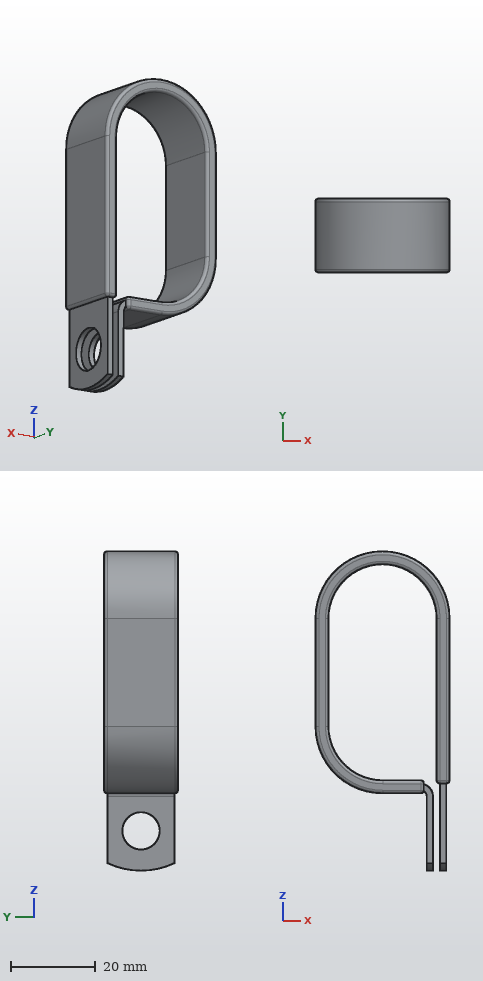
import cadquery as cq
import math


OVERALL_HEIGHT = 75.25
BORE_RADIUS = 12.7
SIDE_LENGTH = 25.4
STRAP_THICKNESS = 1.524
STRAP_WIDTH = 15.875
CUSHION_THICKNESS = 0.79375
LEG_GAP = 2 * CUSHION_THICKNESS
LEG_BEND_RADIUS = STRAP_THICKNESS
LONG_SIDE_COVER = 38.1
CUSHION_END_X = 9.77
SHORT_LEG_HOLE_DIAMETER = 8.73
LONG_LEG_HOLE_DIAMETER = 10.3
HOLE_TO_TIP = 9.4
TIP_RADIUS = 18.3
ROUNDING_MARGIN = 0.005

STRAP_INNER_RADIUS = BORE_RADIUS + CUSHION_THICKNESS
STRAP_OUTER_RADIUS = STRAP_INNER_RADIUS + STRAP_THICKNESS
CUSHION_OUTER_RADIUS = STRAP_OUTER_RADIUS + CUSHION_THICKNESS
CUSHION_WIDTH = STRAP_WIDTH + 2 * CUSHION_THICKNESS
CUSHION_ROUNDING = CUSHION_THICKNESS - ROUNDING_MARGIN
LOWER_CENTRE_Z = -SIDE_LENGTH
TIP_Z = CUSHION_OUTER_RADIUS - OVERALL_HEIGHT
SHORT_LEG_OUTER_X = STRAP_INNER_RADIUS - LEG_GAP
SHORT_LEG_INNER_X = SHORT_LEG_OUTER_X - STRAP_THICKNESS
BEND_START_X = SHORT_LEG_INNER_X - LEG_BEND_RADIUS
CUSHION_END_Z = -LONG_SIDE_COVER - CUSHION_THICKNESS


def extrude_mid_width(profile, width):
    """Extrude an XZ profile symmetrically about the mid-width plane."""
    return profile.close().extrude(width / 2, both=True)


def arc_end(path, centre, radius, start_angle, end_angle):
    """Continue a path along a circular arc given by its centre and angles in degrees."""
    def point(angle):
        turn = math.radians(angle)
        return (centre[0] + radius * math.cos(turn), centre[1] + radius * math.sin(turn))

    return path.threePointArc(point((start_angle + end_angle) / 2), point(end_angle))


def loop_wall(path, radius):
    """Trace one face of the loop: over the top, down the side and round to the bottom."""
    path = path.lineTo(radius, 0)
    path = arc_end(path, (0, 0), radius, 0, 180)
    path = path.lineTo(-radius, LOWER_CENTRE_Z)
    return arc_end(path, (0, LOWER_CENTRE_Z), radius, 180, 270)


def loop_wall_back(path, radius):
    """Trace one face of the loop in the opposite sense, from the bottom to the upper bend."""
    path = path.lineTo(0, LOWER_CENTRE_Z - radius)
    path = arc_end(path, (0, LOWER_CENTRE_Z), radius, 270, 180)
    path = path.lineTo(-radius, 0)
    return arc_end(path, (0, 0), radius, 180, 0)


def make_cushion():
    """Rubber sleeve around the loop, rounded along its sides and both ends."""
    path = cq.Workplane("XZ").moveTo(CUSHION_OUTER_RADIUS, CUSHION_END_Z)
    path = loop_wall(path, CUSHION_OUTER_RADIUS)
    path = path.lineTo(CUSHION_END_X, LOWER_CENTRE_Z - CUSHION_OUTER_RADIUS)
    path = path.lineTo(CUSHION_END_X, LOWER_CENTRE_Z - BORE_RADIUS)
    path = loop_wall_back(path, BORE_RADIUS)
    path = path.lineTo(BORE_RADIUS, CUSHION_END_Z)
    cushion = extrude_mid_width(path, CUSHION_WIDTH)

    short_end_centre = (
        CUSHION_END_X,
        0,
        LOWER_CENTRE_Z - (BORE_RADIUS + CUSHION_OUTER_RADIUS) / 2,
    )
    short_end = cushion.faces(cq.selectors.NearestToPointSelector(short_end_centre)).edges()
    long_end_centre = ((BORE_RADIUS + CUSHION_OUTER_RADIUS) / 2, 0, CUSHION_END_Z)
    long_end = cushion.faces(cq.selectors.NearestToPointSelector(long_end_centre)).edges()
    return cushion.faces("|Y").edges().add(short_end).add(long_end).fillet(CUSHION_ROUNDING)


def make_strap_blank():
    """Bent strap with square leg ends reaching the tip level."""
    bend_centre = (BEND_START_X, LOWER_CENTRE_Z - STRAP_OUTER_RADIUS - LEG_BEND_RADIUS)
    bend_outer_radius = LEG_BEND_RADIUS + STRAP_THICKNESS

    path = cq.Workplane("XZ").moveTo(STRAP_OUTER_RADIUS, TIP_Z)
    path = loop_wall(path, STRAP_OUTER_RADIUS)
    path = path.lineTo(BEND_START_X, LOWER_CENTRE_Z - STRAP_OUTER_RADIUS)
    path = arc_end(path, bend_centre, LEG_BEND_RADIUS, 90, 0)
    path = path.lineTo(SHORT_LEG_INNER_X, TIP_Z)
    path = path.lineTo(SHORT_LEG_OUTER_X, TIP_Z)
    path = path.lineTo(SHORT_LEG_OUTER_X, bend_centre[1])
    path = arc_end(path, bend_centre, bend_outer_radius, 0, 90)
    path = loop_wall_back(path, STRAP_INNER_RADIUS)
    path = path.lineTo(STRAP_INNER_RADIUS, TIP_Z)
    return extrude_mid_width(path, STRAP_WIDTH)


def make_tip_envelope():
    """Prism along X whose lower end is the convex tip of the legs."""
    half_width = STRAP_WIDTH / 2
    tip_rise = TIP_RADIUS - math.sqrt(TIP_RADIUS**2 - half_width**2)
    return (
        cq.Workplane("YZ")
        .moveTo(-half_width, CUSHION_OUTER_RADIUS)
        .lineTo(-half_width, TIP_Z + tip_rise)
        .threePointArc((0, TIP_Z), (half_width, TIP_Z + tip_rise))
        .lineTo(half_width, CUSHION_OUTER_RADIUS)
        .close()
        .extrude(CUSHION_OUTER_RADIUS, both=True)
    )


def make_bolt_hole(start_x, diameter):
    """Cylinder along X through the leg whose near face is at start_x."""
    return (
        cq.Workplane("YZ", origin=(start_x, 0, TIP_Z + HOLE_TO_TIP))
        .circle(diameter / 2)
        .extrude(STRAP_THICKNESS)
    )


strap = make_strap_blank().intersect(make_tip_envelope())
strap = strap.cut(make_bolt_hole(SHORT_LEG_INNER_X, SHORT_LEG_HOLE_DIAMETER))
strap = strap.cut(make_bolt_hole(STRAP_INNER_RADIUS, LONG_LEG_HOLE_DIAMETER))
result = make_cushion().union(strap)